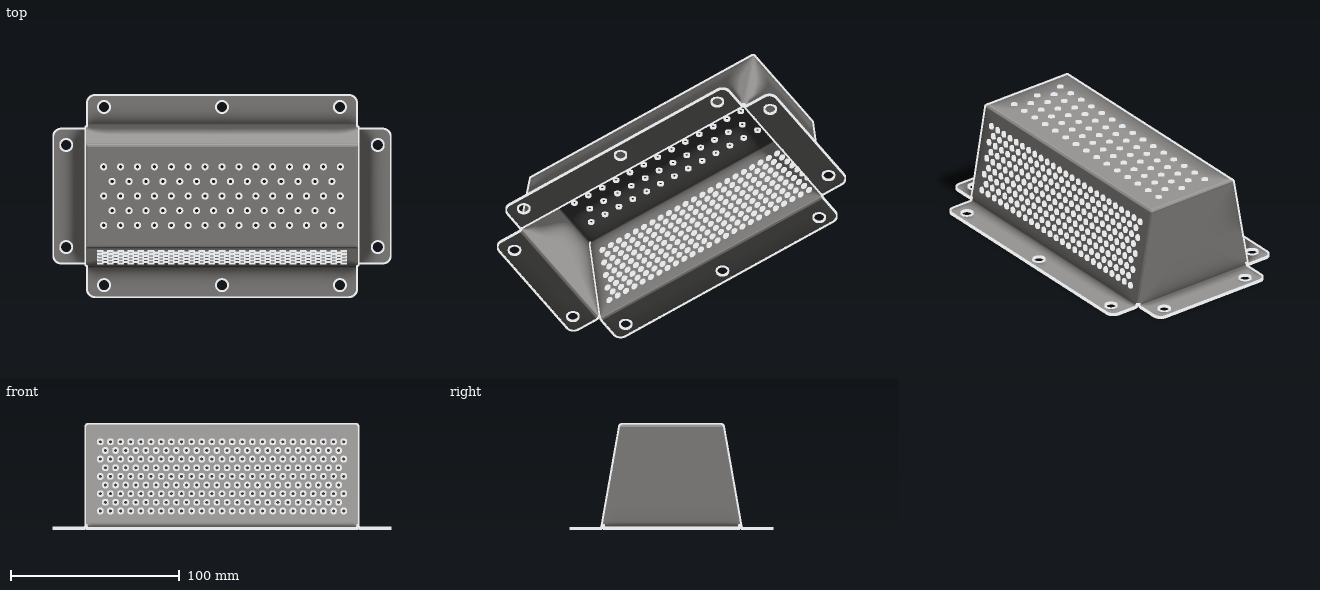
import cadquery as cq
import math


height = 62.5
sheet = 1.0
bend_radius = 1.0
outer_radius = bend_radius + sheet

inner_length = 160.0
inner_width = 60.0
side_lean = 10.0
end_lean = 0.0
inner_top = height - sheet
hood_base = 2.5

overall_length = 200.0
overall_width = 119.8
side_flange_length = inner_length
end_flange_length = 80.0
end_flange_lift = 0.2
flange_corner_radius = 5.0

mount_diameter = 7.0
side_mount_pitch = 69.8
side_mount_edge = 7.2
end_mount_spacing = 60.5
end_mount_edge = 7.8

perforation_diameter = 3.0
top_pitch = 10.0
top_columns = 15
top_rows = 5
wall_pitch = 6.0
wall_columns = 25
wall_rows = 9


def inner_half_width(z):
    """Half width between the inner faces of the sloping walls at height z."""
    return inner_width / 2 + (inner_top - z) * math.tan(math.radians(side_lean))


def hood():
    """Top plate and four walls, with rounded bends round the top and up the corners."""
    base_half = inner_half_width(hood_base)
    inside = (
        cq.Workplane("YZ")
        .moveTo(-base_half, hood_base)
        .lineTo(base_half, hood_base)
        .lineTo(inner_width / 2, inner_top)
        .lineTo(-inner_width / 2, inner_top)
        .close()
        .extrude(inner_length / 2, both=True)
    )
    inside = inside.faces(">Z").edges().fillet(bend_radius)
    return inside.faces("<Z").shell(sheet, kind="arc")


def flange(wall_foot, lean_degrees, reach, length):
    """Flange towards +X with the bend that turns it up into a leaning wall.

    wall_foot is where the inner face of the wall would meet the flange underside.
    """
    lean = math.radians(lean_degrees)
    middle = (lean + math.pi / 2) / 2
    bend_z = sheet + bend_radius
    bend_x = wall_foot + outer_radius / math.cos(lean) - bend_z * math.tan(lean)
    lap = 2 * sheet

    def bend_point(radius, angle):
        return (bend_x - radius * math.cos(angle), bend_z - radius * math.sin(angle))

    def lap_point(radius):
        x, z = bend_point(radius, lean)
        return (x - lap * math.sin(lean), z + lap * math.cos(lean))

    strip = (
        cq.Workplane("XZ")
        .moveTo(*lap_point(bend_radius))
        .lineTo(*bend_point(bend_radius, lean))
        .threePointArc(bend_point(bend_radius, middle), (bend_x, sheet))
        .lineTo(reach, sheet)
        .lineTo(reach, 0)
        .lineTo(bend_x, 0)
        .threePointArc(bend_point(outer_radius, middle), bend_point(outer_radius, lean))
        .lineTo(*lap_point(outer_radius))
        .close()
        .extrude(length / 2, both=True)
    )
    return strip.faces(">X").edges("|Z").fillet(flange_corner_radius)


def flanges():
    side = flange(inner_half_width(0), side_lean, overall_width / 2, side_flange_length)
    end = flange(inner_length / 2, end_lean, overall_length / 2, end_flange_length)
    end = end.translate((0, 0, end_flange_lift))
    side = side.rotate((0, 0, 0), (0, 0, 1), 90)
    half = side.union(end)
    return half.union(half.rotate((0, 0, 0), (0, 0, 1), 180))


def staggered_grid(pitch, columns, rows):
    """Centred points; every second row is one hole shorter and shifted half a pitch."""
    row_pitch = pitch * math.sin(math.radians(60))
    points = []
    for row in range(rows):
        count = columns - row % 2
        y = (row - (rows - 1) / 2) * row_pitch
        points += [((column - (count - 1) / 2) * pitch, y) for column in range(count)]
    return points


def top_perforations():
    points = staggered_grid(top_pitch, top_columns, top_rows)
    plane = cq.Workplane("XY").workplane(offset=inner_top - sheet)
    return plane.pushPoints(points).circle(perforation_diameter / 2).extrude(3 * sheet)


def front_perforations():
    """Holes square to the sloping wall on the -Y side, centred at half height."""
    middle_z = height / 2
    lean = math.radians(side_lean)
    outward = (0, -math.cos(lean), math.sin(lean))
    wall_plane = cq.Plane(
        origin=(0, -inner_half_width(middle_z), middle_z), xDir=(1, 0, 0), normal=outward
    )
    points = staggered_grid(wall_pitch, wall_columns, wall_rows)
    holes = cq.Workplane(wall_plane).pushPoints(points).circle(perforation_diameter / 2)
    return holes.extrude(2 * sheet, both=True)


def mounting_holes():
    side_y = overall_width / 2 - side_mount_edge
    end_x = overall_length / 2 - end_mount_edge
    points = []
    for sign in (-1, 1):
        points += [(step * side_mount_pitch, sign * side_y) for step in (-1, 0, 1)]
        points += [(sign * end_x, step * end_mount_spacing / 2) for step in (-1, 1)]
    return cq.Workplane("XY").pushPoints(points).circle(mount_diameter / 2).extrude(3 * sheet)


result = hood().union(flanges()).clean()
result = result.cut(top_perforations()).cut(front_perforations()).cut(mounting_holes())